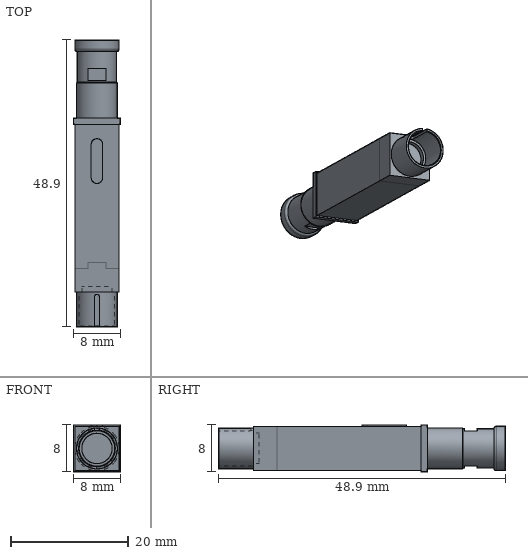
import cadquery as cq
import math

length = 48.9
flange_side = 8.0
body_side = 7.55

tail_length = 5.9
cap_length = 4.0
cap_end = tail_length + cap_length
body_end = 34.5
flange_thickness = 1.1
flange_end = body_end + flange_thickness
barrel_end = 41.7
head_length = 1.95
head_start = length - head_length

barrel_radius = 7.0 / 2
neck_radius = 6.75 / 2
head_radius = 7.6 / 2
barrel_chamfer = barrel_radius - neck_radius
head_rounding = head_radius - neck_radius

tail_radius = barrel_radius
socket_radius = 3.05
mouth_chamfer = 0.1
recess_radius = 2.6
recess_depth = 1.0
slot_width = 0.85
slot_length = 5.55

tongue_width = 3.15
tongue_length = 1.05
tongue_thickness = 0.5

pad_width = 1.95
pad_length = 7.65
pad_centre = 28.25

flat_spacing = 6.0
flat_length = 2.1
flat_centre = 43.05


def square_bar(side, start, end):
    """Square bar along Y between two stations."""
    return cq.Workplane("XZ", origin=(0, start, 0)).rect(side, side).extrude(start - end)


def make_head_end():
    """Barrel, neck with two flats, and rounded head behind the flange."""
    arc_shift = head_rounding * math.sqrt(0.5)
    arc_middle = (neck_radius + arc_shift, head_start + head_rounding - arc_shift)
    head_end = (
        cq.Workplane("XY")
        .moveTo(0, flange_end)
        .lineTo(barrel_radius, flange_end)
        .lineTo(barrel_radius, barrel_end - barrel_chamfer)
        .lineTo(neck_radius, barrel_end)
        .lineTo(neck_radius, head_start)
        .threePointArc(arc_middle, (head_radius, head_start + head_rounding))
        .lineTo(head_radius, length)
        .lineTo(0, length)
        .close()
        .revolve(360, (0, 0), (0, 1))
    )
    cutter_size = 2 * neck_radius
    flat_cutter = cq.Workplane("XY").box(cutter_size, flat_length, cutter_size)
    for side in (1, -1):
        height = side * (flat_spacing + cutter_size) / 2
        head_end = head_end.cut(flat_cutter.translate((0, flat_centre, height)))
    return head_end


def make_socket():
    """Bore of the tail with a chamfered mouth and a recess in its floor."""
    floor = tail_length + recess_depth
    return (
        cq.Workplane("XY")
        .lineTo(socket_radius + mouth_chamfer, 0)
        .lineTo(socket_radius, mouth_chamfer)
        .lineTo(socket_radius, tail_length)
        .lineTo(recess_radius, tail_length)
        .lineTo(recess_radius, floor)
        .lineTo(0, floor)
        .close()
        .revolve(360, (0, 0), (0, 1))
    )


def make_slot():
    """Round-ended slot through the top wall of the tail, open at the mouth."""
    return cq.Workplane("XY").slot2D(2 * slot_length, slot_width, 90).extrude(tail_radius)


def make_pad():
    """Low round-ended pad on top of the body."""
    pad = cq.Workplane("XY", origin=(0, pad_centre, 0))
    return pad.slot2D(pad_length, pad_width, 90).extrude(flange_side / 2)


def make_cap():
    """Square end cap whose tongue lies flush in the top of the body."""
    tongue_middle = cap_end + tongue_length / 2
    tongue = cq.Workplane("XY").box(tongue_width, tongue_length, tongue_thickness)
    tongue = tongue.translate((0, tongue_middle, (body_side - tongue_thickness) / 2))
    return square_bar(body_side, tail_length, cap_end).union(tongue)


cap = make_cap()
flange = square_bar(flange_side, body_end, flange_end)
body = square_bar(body_side, cap_end, body_end)
body = body.union(flange).union(make_pad()).union(make_head_end()).cut(cap)

tail = cq.Workplane("XZ").circle(tail_radius).extrude(-tail_length)
rod = body.union(cap, clean=False).union(tail, clean=False)
result = rod.cut(make_socket(), clean=False).cut(make_slot(), clean=False)